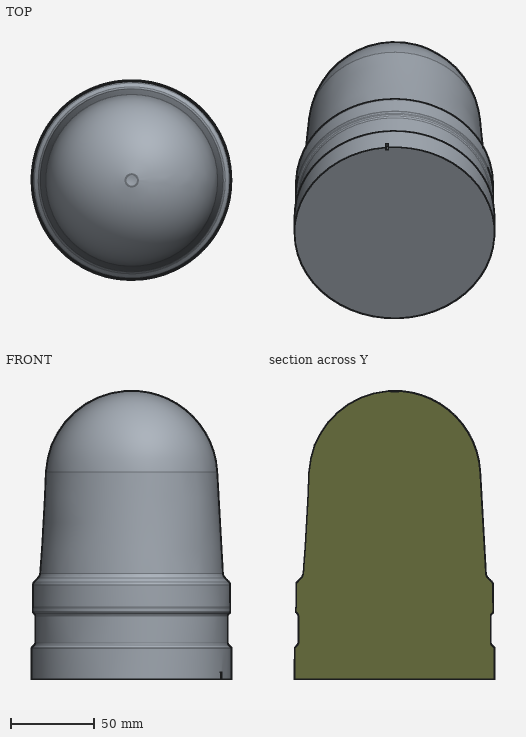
import cadquery as cq
import math

total_height = 172.8

base_radius = 60.0
base_top = 19.0
neck_radius = 57.7

ring_bottom = 40.3
ring_radius = 59.3
lip_top = 42.9
lip_step = 0.09
lip_slope_height = 0.5
ring_top = 57.7
ring_top_radius = 59.1

lens_foot_radius = 55.0
lens_draft = 3.2
dome_start = 124.3
dimple_rim_radius = 4.0
dimple_radius = 3.5
dimple_depth = 0.3

outer_blend = 1.0
inner_blend = 1.7
ring_blend = 2.5
lens_blend = 4.1

notch_width = 1.4
notch_height = 4.1
notch_depth = 1.7
notch_angle = -26.0

neck_bottom = base_top + base_radius - neck_radius
neck_top = ring_bottom - (ring_radius - neck_radius)
lens_foot = ring_top + ring_top_radius - lens_foot_radius

dome_start_radius = lens_foot_radius - (dome_start - lens_foot) * math.tan(math.radians(lens_draft))


def dome_middle():
    """Point on the dome at 45 degrees; the dome is a sphere centred on the Z axis
    that passes through the top of the lens wall and the dimple's rim."""
    centre_height = (
        total_height**2 + dimple_rim_radius**2 - dome_start**2 - dome_start_radius**2
    ) / (2 * (total_height - dome_start))
    dome_radius = math.hypot(dimple_rim_radius, total_height - centre_height)
    middle_angle = math.radians(45)
    return (
        dome_radius * math.cos(middle_angle),
        centre_height + dome_radius * math.sin(middle_angle),
    )


def turned_body():
    """Solid of revolution with sharp corners, topped by a flat rim around a shallow dimple."""
    dimple_bottom = total_height - dimple_depth
    dimple_sphere = (dimple_radius**2 + dimple_depth**2) / (2 * dimple_depth)
    dimple_middle_radius = dimple_radius / 2
    dimple_sag = dimple_sphere - math.sqrt(dimple_sphere**2 - dimple_middle_radius**2)
    profile = (
        cq.Workplane("XZ")
        .lineTo(base_radius, 0)
        .lineTo(base_radius, base_top)
        .lineTo(neck_radius, neck_bottom)
        .lineTo(neck_radius, neck_top)
        .lineTo(ring_radius, ring_bottom)
        .lineTo(ring_radius, lip_top)
        .lineTo(ring_radius - lip_step, lip_top + lip_slope_height)
        .lineTo(ring_top_radius, ring_top)
        .lineTo(lens_foot_radius, lens_foot)
        .lineTo(dome_start_radius, dome_start)
        .threePointArc(dome_middle(), (dimple_rim_radius, total_height))
        .lineTo(dimple_radius, total_height)
        .threePointArc((dimple_middle_radius, dimple_bottom + dimple_sag), (0, dimple_bottom))
        .close()
    )
    return profile.revolve(360, (0, 0, 0), (0, 1, 0))


def round_edge(body, height, radius):
    """Round the circular edge that lies at the given height."""
    reach = 2 * base_radius
    margin = 0.02
    at_height = cq.selectors.BoxSelector(
        (-reach, -reach, height - margin),
        (reach, reach, height + margin),
        boundingbox=True,
    )
    return body.edges(at_height).fillet(radius)


def base_notch():
    """Small upright notch cut into the side of the base at its bottom edge."""
    return (
        cq.Workplane("XY")
        .box(2 * notch_depth, notch_width, notch_height, centered=(True, True, False))
        .translate((base_radius, 0, 0))
        .rotate((0, 0, 0), (0, 0, 1), notch_angle)
    )


body = turned_body()
for edge_height, edge_radius in (
    (base_top, outer_blend),
    (neck_bottom, inner_blend),
    (neck_top, inner_blend),
    (ring_bottom, outer_blend),
    (ring_top, ring_blend),
    (lens_foot, lens_blend),
):
    body = round_edge(body, edge_height, edge_radius)

result = body.cut(base_notch())